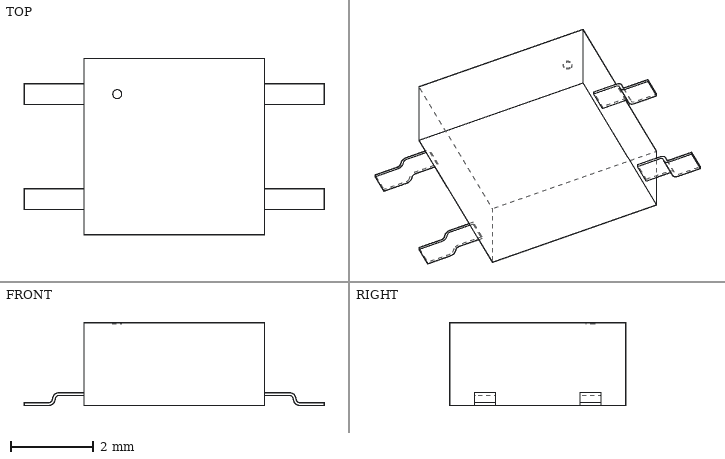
import cadquery as cq
import math

overall_length = 7.29
body_length = 4.39
body_width = 4.29
body_height = 2.01

lead_thickness = 0.07
lead_width = 0.51
lead_height = 0.31
lead_offset_y = 1.275
foot_length = 0.6
bend_inner_radius = 0.08
bend_outer_radius = bend_inner_radius + lead_thickness
bend_angle = math.radians(75)

bend_radius_sum = bend_inner_radius + bend_outer_radius
bends_rise = bend_radius_sum * (1 - math.cos(bend_angle))
ramp_length = (lead_height - lead_thickness - bends_rise) / math.sin(bend_angle)
bends_run = bend_radius_sum * math.sin(bend_angle) + ramp_length * math.cos(bend_angle)

marker_diameter = 0.22
marker_depth = 0.04
marker_x = -1.385
marker_y = lead_offset_y


def make_marker():
    """Thin disc whose top face is level with the housing top."""
    return (
        cq.Workplane("XY")
        .workplane(offset=body_height - marker_depth)
        .center(marker_x, marker_y)
        .circle(marker_diameter / 2)
        .extrude(marker_depth)
    )


def make_housing(marker):
    """Rectangular block with a recess that holds the marker."""
    block = cq.Workplane("XY").box(body_length, body_width, body_height, centered=(True, True, False))
    return block.cut(marker)


def make_lead(side, center_y):
    """S-bent strip from the foot tip to the housing wall; side is -1 or +1 along X."""
    tip_x = side * overall_length / 2
    wall_x = side * body_length / 2
    lower_bend_x = tip_x - side * foot_length
    upper_bend_x = lower_bend_x - side * bends_run

    def lower_bend_end(radius):
        """Foot of the ramp, on the lower bend's arc of this radius."""
        return (
            lower_bend_x - side * radius * math.sin(bend_angle),
            bend_outer_radius - radius * math.cos(bend_angle),
        )

    def upper_bend_end(radius):
        """Head of the ramp, on the upper bend's arc of this radius."""
        return (
            upper_bend_x + side * radius * math.sin(bend_angle),
            lead_height - bend_outer_radius + radius * math.cos(bend_angle),
        )

    profile = (
        cq.Workplane("XZ", origin=(0, center_y, 0))
        .moveTo(tip_x, 0)
        .lineTo(tip_x, lead_thickness)
        .lineTo(lower_bend_x, lead_thickness)
        .tangentArcPoint(lower_bend_end(bend_inner_radius), relative=False)
        .lineTo(*upper_bend_end(bend_outer_radius))
        .tangentArcPoint((upper_bend_x, lead_height), relative=False)
        .lineTo(wall_x, lead_height)
        .lineTo(wall_x, lead_height - lead_thickness)
        .lineTo(upper_bend_x, lead_height - lead_thickness)
        .tangentArcPoint(upper_bend_end(bend_inner_radius), relative=False)
        .lineTo(*lower_bend_end(bend_outer_radius))
        .tangentArcPoint((lower_bend_x, 0), relative=False)
        .close()
    )
    return profile.extrude(lead_width / 2, both=True)


marker = make_marker()
housing = make_housing(marker)
leads = [
    make_lead(side, center_y).val()
    for side in (-1, 1)
    for center_y in (-lead_offset_y, lead_offset_y)
]

result = cq.Compound.makeCompound([housing.val(), marker.val(), *leads])